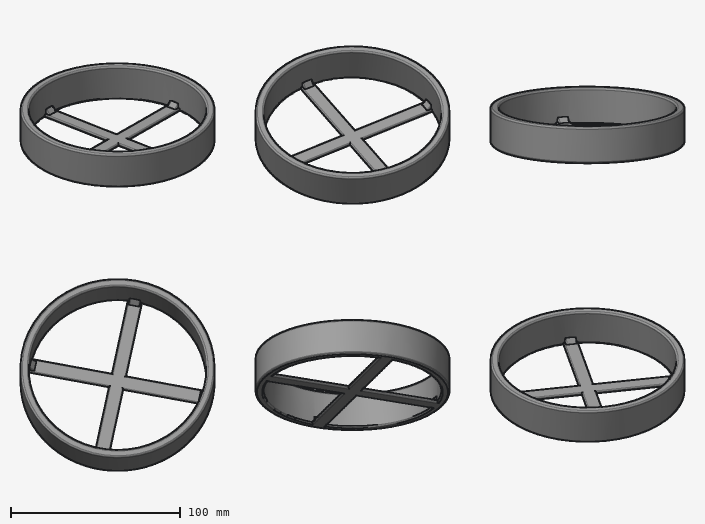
import cadquery as cq

outer_diameter = 114.5
inner_diameter = 104.5
height = 22.0
rim_fillet = 1.0
base_chamfer = 1.0
base_blend = 0.8

bar_width = 8.6
bar_thickness = 2.0
bar_fillet = 0.7

gusset_width = 6.6
gusset_size = 3.0
gusset_fillet = 0.7

inner_radius = inner_diameter / 2
wall = (outer_diameter - inner_diameter) / 2
buried_radius = inner_radius + wall / 2


def make_ring():
    ring = cq.Workplane("XY").circle(outer_diameter / 2).circle(inner_radius).extrude(height)
    ring = ring.faces(">Z").edges().fillet(rim_fillet)
    ring = ring.faces("<Z").edges(cq.selectors.RadiusNthSelector(0)).fillet(rim_fillet)
    ring = ring.faces("<Z").edges(cq.selectors.RadiusNthSelector(-1)).chamfer(base_chamfer)
    return ring.faces("%CONE").edges(">Z").fillet(base_blend)


def make_cross():
    length = 2 * buried_radius
    cross = (
        cq.Workplane("XY")
        .rect(length, bar_width)
        .extrude(bar_thickness)
        .union(cq.Workplane("XY").rect(bar_width, length).extrude(bar_thickness))
    )
    return cross.faces("<Z or >Z").edges().fillet(bar_fillet)


def make_gusset():
    """Gusset at 45 degrees on the +X bar, with its sloped side edges rounded."""
    foot = inner_radius - gusset_size
    rise = buried_radius - foot
    gusset = (
        cq.Workplane("XZ")
        .moveTo(foot, bar_thickness)
        .lineTo(buried_radius, bar_thickness + rise)
        .lineTo(buried_radius, 0)
        .lineTo(foot, 0)
        .close()
        .extrude(gusset_width / 2, both=True)
    )
    sloped_edges = "not (|X or |Y or |Z)"
    return gusset.edges(sloped_edges).fillet(gusset_fillet)


result = make_ring().union(make_cross())
for angle in range(0, 360, 90):
    result = result.union(make_gusset().rotate((0, 0, 0), (0, 0, 1), angle))